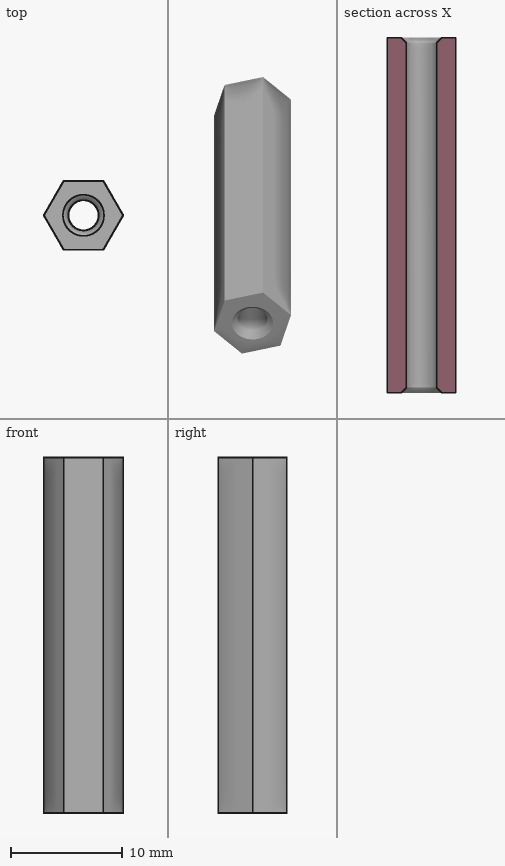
import cadquery as cq
import math

side_count = 6
length = 32.0
across_flats = 6.2
across_corners = across_flats / math.cos(math.pi / side_count)

bore_diameter = 2.7
countersink_diameter = 3.7
countersink_depth = (countersink_diameter - bore_diameter) / 2


def hex_body():
    """Hexagonal bar standing on Z = 0, with two corners on the X axis."""
    return cq.Workplane("XY").polygon(side_count, across_corners).extrude(length)


def bore_with_countersinks():
    """Cutting solid: through bore that opens into a cone at both ends."""
    bore_radius = bore_diameter / 2
    mouth_radius = countersink_diameter / 2
    half_profile = (
        cq.Workplane("XZ")
        .moveTo(0, 0)
        .lineTo(mouth_radius, 0)
        .lineTo(bore_radius, countersink_depth)
        .lineTo(bore_radius, length - countersink_depth)
        .lineTo(mouth_radius, length)
        .lineTo(0, length)
        .close()
    )
    return half_profile.revolve(360, (0, 0, 0), (0, 1, 0))


result = hex_body().cut(bore_with_countersinks())